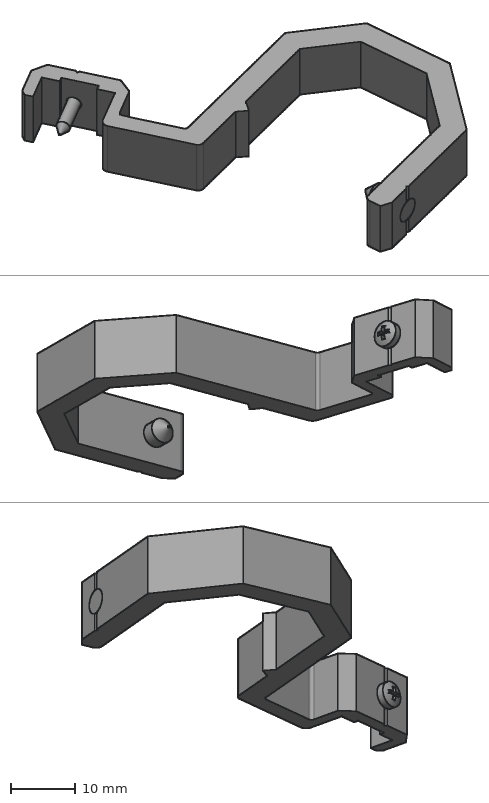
import cadquery as cq
import math

strip_height = 9.8

hook_width = 35.85
hook_wall = 4.0
hook_top_y = 26.85
left_bevel = 9.1
right_bevel = 10.8
leg_end_y = -5.95
leg_chamfer_x = 1.0
leg_chamfer_y = 1.7
leg_fillet = 0.95
tooth_half_width = 1.4
tooth_depth = 1.6

tilt = 18.0
arm_bottom_v = -6.0
arm_thickness = 3.0
clip_centre_u = -38.9
clip_width = 16.0
clip_top_v = 4.55
clip_wall = 2.0
clip_corner_chamfer = 2.0
clip_pad_thickness = 3.05
clip_web_thickness = 2.2
clip_recess_width = 6.1
lip_end_v = -3.05
lip_chamfer_u = 0.65
lip_chamfer_v = 0.8
arm_inner_fillet = 0.6
arm_outer_fillet = 1.1
heel_fillet = 1.0

mark_width = 0.65
mark_depth = 0.3

clamp_diameter = 4.0
clamp_reach = 4.0
clamp_cone_length = 1.8
clamp_tip_diameter = 0.4

screw_u = -39.9
shank_diameter = 2.2
clearance_diameter = 2.5
head_diameter = 4.2
head_side_height = 1.2
head_dome_height = 0.65
screw_tip_v = -5.1
screw_cone_length = 1.85
screw_tip_diameter = 0.3
cross_length = 2.2
cross_width = 0.6
cross_depth = 0.95

half_width = hook_width / 2
inner_half_width = half_width - hook_wall
arm_top_v = arm_bottom_v + arm_thickness
clip_left_u = clip_centre_u - clip_width / 2
clip_right_u = clip_centre_u + clip_width / 2
clip_inner_left_u = clip_left_u + clip_wall
clip_inner_right_u = clip_right_u - clip_wall
head_seat_v = clip_top_v
head_rim_v = head_seat_v + head_side_height
head_crown_v = head_rim_v + head_dome_height
cos_tilt = math.cos(math.radians(tilt))
sin_tilt = math.sin(math.radians(tilt))


def from_tilted(u, v):
    """Point of the tilted frame, in X and Y."""
    return (u * cos_tilt - v * sin_tilt, u * sin_tilt + v * cos_tilt)


def arm_line_at(x, v):
    """Point where the arm's line at height v meets the vertical line at x."""
    return from_tilted((x + v * sin_tilt) / cos_tilt, v)


def hook_outline():
    """From the arm's underside, along the inside of the hook and back along its outside."""
    inner_top_y = hook_top_y - hook_wall
    bend_shift = hook_wall * math.tan(math.radians(22.5))
    left_corner_y = hook_top_y - left_bevel
    right_corner_y = hook_top_y - right_bevel
    top_left_x = -half_width + left_bevel
    top_right_x = half_width - right_bevel
    return [
        arm_line_at(-inner_half_width, arm_bottom_v),
        (-inner_half_width, -tooth_half_width),
        (-inner_half_width + tooth_depth, 0),
        (-inner_half_width, tooth_half_width),
        (-inner_half_width, left_corner_y - bend_shift),
        (top_left_x + bend_shift, inner_top_y),
        (top_right_x - bend_shift, inner_top_y),
        (inner_half_width, right_corner_y - bend_shift),
        (inner_half_width, leg_end_y),
        (half_width - leg_chamfer_x, leg_end_y),
        (half_width, leg_end_y + leg_chamfer_y),
        (half_width, -mark_width / 2),
        (half_width - mark_depth, 0),
        (half_width, mark_width / 2),
        (half_width, right_corner_y),
        (top_right_x, hook_top_y),
        (top_left_x, hook_top_y),
        (-half_width, left_corner_y),
        arm_line_at(-half_width, arm_top_v),
    ]


def clip_outline():
    """From the arm's top side, over the outside of the clip and back along its inside."""
    pad_v = clip_top_v - clip_pad_thickness
    web_v = clip_top_v - clip_web_thickness
    recess_left_u = clip_centre_u - clip_recess_width / 2
    recess_right_u = clip_centre_u + clip_recess_width / 2
    tilted_points = [
        (clip_right_u, arm_top_v),
        (clip_right_u, clip_top_v - clip_corner_chamfer),
        (clip_right_u - clip_corner_chamfer, clip_top_v),
        (screw_u + mark_width / 2, clip_top_v),
        (screw_u, clip_top_v - mark_depth),
        (screw_u - mark_width / 2, clip_top_v),
        (clip_left_u + clip_corner_chamfer, clip_top_v),
        (clip_left_u, clip_top_v - clip_corner_chamfer),
        (clip_left_u, lip_end_v + lip_chamfer_v),
        (clip_left_u + lip_chamfer_u, lip_end_v),
        (clip_inner_left_u, lip_end_v),
        (clip_inner_left_u, pad_v),
        (recess_left_u, pad_v),
        (recess_left_u, web_v),
        (recess_right_u, web_v),
        (recess_right_u, pad_v),
        (clip_inner_right_u, pad_v),
        (clip_inner_right_u, arm_bottom_v),
    ]
    return [from_tilted(u, v) for u, v in tilted_points]


def fillet_upright_edge(body, corner, radius):
    """Round the strip's upright edge at the given outline corner."""
    edge = cq.selectors.NearestToPointSelector((*corner, 0))
    return body.edges("|Z").edges(edge).fillet(radius)


def stand_in_clip(body):
    """Move a body revolved about Y to the clip screw's axis."""
    return body.translate((screw_u, 0, 0)).rotate((0, 0, 0), (0, 0, 1), tilt)


def make_bracket():
    bracket = (
        cq.Workplane("XY")
        .polyline(hook_outline() + clip_outline())
        .close()
        .extrude(strip_height / 2, both=True)
    )
    rounded_corners = [
        (arm_line_at(-inner_half_width, arm_bottom_v), heel_fillet),
        (arm_line_at(-half_width, arm_top_v), arm_inner_fillet),
        (from_tilted(clip_right_u, arm_top_v), arm_inner_fillet),
        (from_tilted(clip_inner_right_u, arm_bottom_v), arm_outer_fillet),
        ((inner_half_width, leg_end_y), leg_fillet),
    ]
    for corner, radius in rounded_corners:
        bracket = fillet_upright_edge(bracket, corner, radius)

    clamp_hole = (
        cq.Workplane("YZ")
        .workplane(offset=inner_half_width)
        .circle(clamp_diameter / 2)
        .extrude(hook_wall)
    )
    screw_hole = (
        cq.Workplane("XZ", origin=(0, clip_top_v, 0))
        .circle(clearance_diameter / 2)
        .extrude(clip_pad_thickness)
    )
    return bracket.cut(clamp_hole).cut(stand_in_clip(screw_hole))


def make_clamp_screw():
    """Pointed screw along X, flush with the outside of the leg."""
    tip_x = inner_half_width - clamp_reach
    return (
        cq.Workplane("XY")
        .moveTo(tip_x, 0)
        .lineTo(tip_x, clamp_tip_diameter / 2)
        .lineTo(tip_x + clamp_cone_length, clamp_diameter / 2)
        .lineTo(half_width, clamp_diameter / 2)
        .lineTo(half_width, 0)
        .close()
        .revolve(360, (0, 0, 0), (1, 0, 0))
    )


def make_clip_screw():
    """Pointed screw with a domed head and a cross recess."""
    head_radius = head_diameter / 2
    dome_radius = (head_radius**2 + head_dome_height**2) / (2 * head_dome_height)
    dome_centre_v = head_crown_v - dome_radius
    mid_x = head_radius / 2
    mid_v = dome_centre_v + math.sqrt(dome_radius**2 - mid_x**2)
    screw = (
        cq.Workplane("XY")
        .moveTo(0, screw_tip_v)
        .lineTo(screw_tip_diameter / 2, screw_tip_v)
        .lineTo(shank_diameter / 2, screw_tip_v + screw_cone_length)
        .lineTo(shank_diameter / 2, head_seat_v)
        .lineTo(head_radius, head_seat_v)
        .lineTo(head_radius, head_rim_v)
        .threePointArc((mid_x, mid_v), (0, head_crown_v))
        .close()
        .revolve(360, (0, 0, 0), (0, 1, 0))
    )
    for length_x, length_z in [(cross_length, cross_width), (cross_width, cross_length)]:
        slot = (
            cq.Workplane("XZ", origin=(0, head_crown_v, 0))
            .rect(length_x, length_z)
            .extrude(cross_depth)
        )
        screw = screw.cut(slot)
    return stand_in_clip(screw)


bracket = make_bracket()
clamp_screw = make_clamp_screw()
clip_screw = make_clip_screw()
result = cq.Compound.makeCompound([bracket.val(), clamp_screw.val(), clip_screw.val()])